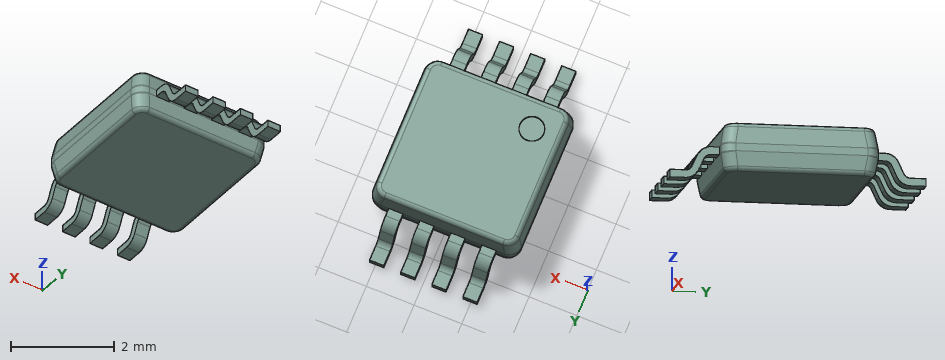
import cadquery as cq
import math

HOUSING_WIDTH = 3.1
HOUSING_BOTTOM = 0.1
TOTAL_HEIGHT = 1.05
DRAFT_ANGLE = 10.0
CORNER_RADIUS = 0.25
RIM_RADIUS = 0.1

SPAN = 5.05
LEADS_PER_SIDE = 4
LEAD_PITCH = 0.65
LEAD_WIDTH = 0.3
LEAD_THICKNESS = 0.15
LEAD_TOP = 0.625
SHOULDER_LENGTH = 0.16
INNER_BEND_RADIUS = 0.145
BEND_ANGLE = math.radians(65.0)

MARKER_DIAMETER = 0.5
MARKER_OFFSET = 0.88
MARKER_RECESS = 0.045
MARKER_THICKNESS = 0.05

BELT_TOP = LEAD_TOP
BELT_BOTTOM = LEAD_TOP - LEAD_THICKNESS
MARKER_TOP = TOTAL_HEIGHT - MARKER_RECESS
MARKER_BOTTOM = MARKER_TOP - MARKER_THICKNESS


def square_block(start_z, height, draft=0.0):
    """Housing-sized square block grown from start_z; a negative height grows down."""
    section = cq.Workplane("XY").workplane(offset=start_z).rect(HOUSING_WIDTH, HOUSING_WIDTH)
    return section.extrude(height, taper=draft)


def marker_cylinder(height):
    """Upright cylinder of the marker's diameter that starts at the pocket floor."""
    section = cq.Workplane("XY").workplane(offset=MARKER_BOTTOM).center(-MARKER_OFFSET, -MARKER_OFFSET)
    return section.circle(MARKER_DIAMETER / 2).extrude(height)


def make_housing():
    belt = square_block(BELT_BOTTOM, LEAD_THICKNESS)
    upper = square_block(BELT_TOP, TOTAL_HEIGHT - BELT_TOP, DRAFT_ANGLE)
    lower = square_block(BELT_BOTTOM, HOUSING_BOTTOM - BELT_BOTTOM, DRAFT_ANGLE)
    body = belt.union(upper).union(lower)

    body = body.edges("not #Z").fillet(CORNER_RADIUS)
    body = body.faces("<Z or >Z").edges().fillet(RIM_RADIUS)
    return body.cut(marker_cylinder(MARKER_THICKNESS + MARKER_RECESS))


def make_lead(x, side):
    """Lead centred on x; side is -1 for the -Y row and +1 for the +Y row."""
    inner = INNER_BEND_RADIUS
    outer = inner + LEAD_THICKNESS
    mid_angle = BEND_ANGLE / 2
    root_y = HOUSING_WIDTH / 2
    tip_y = SPAN / 2

    upper_y = root_y + SHOULDER_LENGTH
    upper_z = LEAD_TOP - outer

    lower_z = outer
    bend_drop = (inner + outer) * (1 - math.cos(BEND_ANGLE))
    leg_length = (LEAD_TOP - LEAD_THICKNESS - bend_drop) / math.sin(BEND_ANGLE)
    leg_run = leg_length * math.cos(BEND_ANGLE)
    lower_y = upper_y + (inner + outer) * math.sin(BEND_ANGLE) + leg_run

    def upper_point(radius, angle):
        return side * (upper_y + radius * math.sin(angle)), upper_z + radius * math.cos(angle)

    def lower_point(radius, angle):
        return side * (lower_y - radius * math.sin(angle)), lower_z - radius * math.cos(angle)

    profile = (
        cq.Workplane("YZ", origin=(x - LEAD_WIDTH / 2, 0, 0))
        .moveTo(side * root_y, LEAD_TOP)
        .lineTo(*upper_point(outer, 0))
        .threePointArc(upper_point(outer, mid_angle), upper_point(outer, BEND_ANGLE))
        .lineTo(*lower_point(inner, BEND_ANGLE))
        .threePointArc(lower_point(inner, mid_angle), lower_point(inner, 0))
        .lineTo(side * tip_y, LEAD_THICKNESS)
        .lineTo(side * tip_y, 0)
        .lineTo(*lower_point(outer, 0))
        .threePointArc(lower_point(outer, mid_angle), lower_point(outer, BEND_ANGLE))
        .lineTo(*upper_point(inner, BEND_ANGLE))
        .threePointArc(upper_point(inner, mid_angle), upper_point(inner, 0))
        .lineTo(side * root_y, LEAD_TOP - LEAD_THICKNESS)
        .close()
    )
    return profile.extrude(LEAD_WIDTH)


housing = make_housing()
marker = marker_cylinder(MARKER_THICKNESS)

leads = []
for side in (-1, 1):
    for index in range(LEADS_PER_SIDE):
        lead_x = (index - (LEADS_PER_SIDE - 1) / 2) * LEAD_PITCH
        leads.append(make_lead(lead_x, side).val())

result = cq.Compound.makeCompound([housing.val(), marker.val(), *leads])